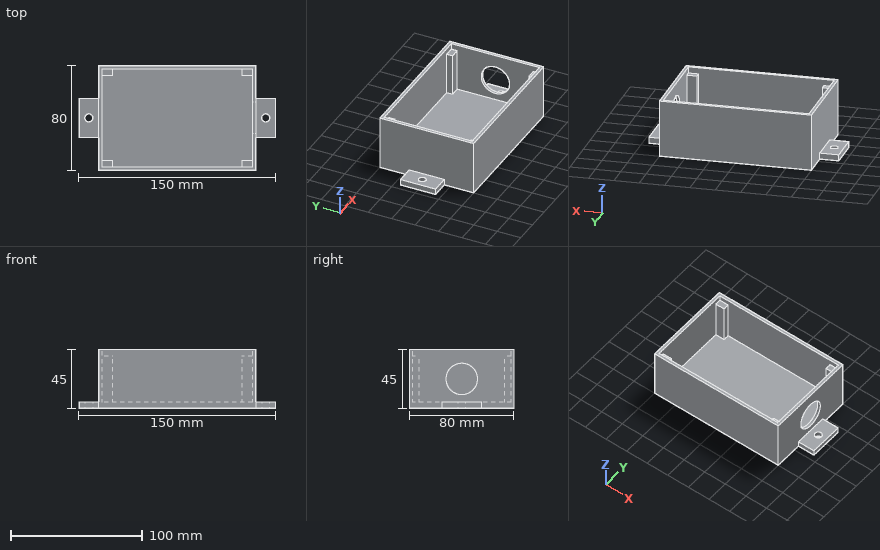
import cadquery as cq

box_length = 120.0
box_width = 80.0
box_height = 45.0
wall = 2.5
floor_thickness = 5.0

tab_reach = 15.0
tab_width = 30.0
tab_thickness = 5.0
tab_hole_diameter = 6.0

post_length = 8.0
post_width = 5.0
post_top_gap = 5.0

opening_diameter = 24.0
opening_center_y = 0.0
opening_center_z = box_height / 2

inner_half_length = box_length / 2 - wall
inner_half_width = box_width / 2 - wall


def block(length, width, height, x, y, z):
    """Block centred on (x, y) with its underside at z."""
    return cq.Workplane("XY").box(length, width, height, centered=(True, True, False)).translate((x, y, z))


def open_box():
    body = block(box_length, box_width, box_height, 0, 0, 0)
    cavity = block(2 * inner_half_length, 2 * inner_half_width, box_height, 0, 0, floor_thickness)
    return body.cut(cavity)


def mounting_tab(side):
    """Drilled tab outside the end wall; side is +1 or -1 along X."""
    center_x = side * (box_length + tab_reach) / 2
    tab = block(tab_reach, tab_width, tab_thickness, center_x, 0, 0)
    return tab.faces(">Z").workplane(centerOption="CenterOfBoundBox").hole(tab_hole_diameter)


def corner_post(side_x, side_y):
    """Post standing on the floor against both walls of one corner."""
    center_x = side_x * (inner_half_length - post_length / 2)
    center_y = side_y * (inner_half_width - post_width / 2)
    post_height = box_height - post_top_gap - floor_thickness
    return block(post_length, post_width, post_height, center_x, center_y, floor_thickness)


def end_wall_opening():
    """Cutter that reaches through the +X end wall only."""
    return (
        cq.Workplane("YZ", origin=(inner_half_length, 0, 0))
        .center(opening_center_y, opening_center_z)
        .circle(opening_diameter / 2)
        .extrude(wall)
    )


result = open_box()
for side_x in (-1, 1):
    result = result.union(mounting_tab(side_x))
    for side_y in (-1, 1):
        result = result.union(corner_post(side_x, side_y))
result = result.cut(end_wall_opening())